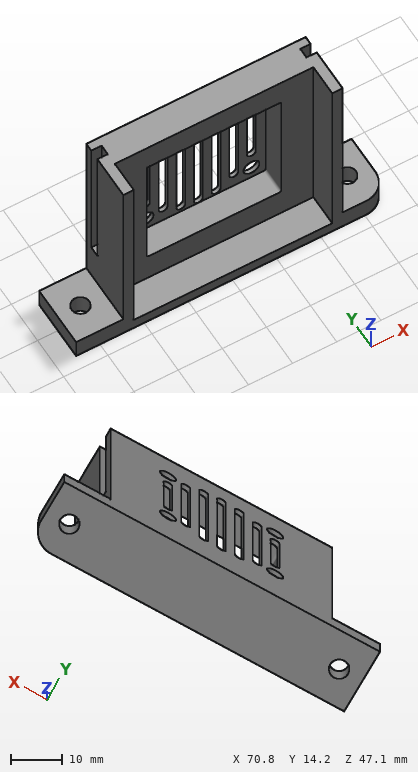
import cadquery as cq

base_length = 70.8
depth = 14.15
base_height = 4.75
corner_radius = 5.1
mount_hole_diameter = 4.0
mount_hole_end_margin = 5.2

height = 47.15
body_left = 10.7
body_width = 49.7
body_right = body_left + body_width
body_center = body_left + body_width / 2

recess_width = 44.95
recess_depth = 7.2
recess_floor = 2.75
center_height = recess_floor + recess_width / 2

window_size = 30.5
window_corner_radius = 0.6
grille_thickness = 1.0

screw_hole_diameter = 3.6
screw_hole_pitch = 24.0
slot_width = 2.0
slot_pitch = screw_hole_pitch / 6
slot_ends = [
    (-8.0, 8.0),
    (-12.25, 12.25),
    (-14.45, 14.45),
    (-15.15, 15.15),
    (-14.95, 14.45),
    (-12.25, 12.25),
    (-8.0, 8.0),
]

groove_size = 2.35
groove_back_margin = 1.9
groove_bottom = 14.1


def box_at(x, y, z, length, width, tall):
    """Box whose left, front, lower corner is at (x, y, z)."""
    return cq.Workplane("XY").box(length, width, tall, centered=False).translate((x, y, z))


def grille_plane():
    """Plane on the back face of the window center, facing the front."""
    return cq.Workplane("XZ", origin=(body_center, depth, center_height))


def make_base():
    base = box_at(0, 0, 0, base_length, depth, base_height)
    base = base.edges("|Z and >X and <Y").fillet(corner_radius)
    hole_centers = [
        (mount_hole_end_margin, depth / 2),
        (base_length - mount_hole_end_margin, depth / 2),
    ]
    holes = cq.Workplane("XY").pushPoints(hole_centers).circle(mount_hole_diameter / 2).extrude(base_height)
    return base.cut(holes)


def make_recess():
    return box_at(
        body_center - recess_width / 2, 0, recess_floor,
        recess_width, recess_depth, height - recess_floor,
    )


def make_window():
    window_depth = depth - recess_depth - grille_thickness
    window = cq.Workplane("XZ").rect(window_size, window_size).extrude(window_depth)
    window = window.edges("|Y").fillet(window_corner_radius)
    return window.translate((body_center, depth - grille_thickness, center_height))


def make_grille_openings():
    openings = (
        grille_plane()
        .rect(screw_hole_pitch, screw_hole_pitch, forConstruction=True)
        .vertices()
        .circle(screw_hole_diameter / 2)
        .extrude(grille_thickness)
    )
    for index, (bottom, top) in enumerate(slot_ends):
        x = (index - (len(slot_ends) - 1) / 2) * slot_pitch
        slot = (
            grille_plane()
            .center(x, (bottom + top) / 2)
            .slot2D(top - bottom, slot_width, 90)
            .extrude(grille_thickness)
        )
        openings = openings.union(slot)
    return openings


def make_groove(x):
    groove_front = depth - groove_back_margin - groove_size
    return box_at(x, groove_front, groove_bottom, groove_size, groove_size, height - groove_bottom)


body = box_at(body_left, 0, 0, body_width, depth, height)
result = make_base().union(body)
result = result.cut(make_recess())
result = result.cut(make_window())
result = result.cut(make_grille_openings())
for groove_x in (body_left, body_right - groove_size):
    result = result.cut(make_groove(groove_x))